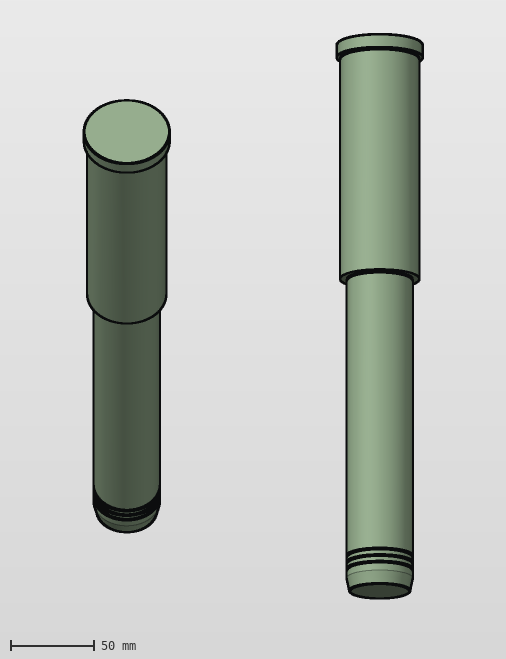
import cadquery as cq

total_length = 340.0
head_diameter = 52.0
head_thickness = 8.0
head_chamfer = 0.5
body_diameter = 48.0
shaft_diameter = 40.0
shoulder_depth = 146.0

tip_diameter = 36.7
tip_length = 8.0
tip_chamfer = 0.5

groove_count = 3
groove_width = 1.0
groove_depth = 0.5
groove_pitch = 4.0
lowest_groove_height = 13.0

shaft_length = total_length - shoulder_depth
body_length = shoulder_depth - head_thickness
shaft_radius = shaft_diameter / 2


def cylinder(diameter, bottom, height):
    """Solid cylinder on the Z axis, standing on the given height."""
    return cq.Workplane("XY").workplane(offset=bottom).circle(diameter / 2).extrude(height)


def tapered_shaft():
    """Shaft with its conical lead-in and broken bottom edge."""
    profile = (
        cq.Workplane("XZ")
        .lineTo(tip_diameter / 2, 0)
        .lineTo(shaft_radius, tip_length)
        .lineTo(shaft_radius, shaft_length)
        .lineTo(0, shaft_length)
        .close()
    )
    shaft = profile.revolve(360, (0, 0, 0), (0, 1, 0))
    return shaft.faces("<Z").chamfer(tip_chamfer)


def ring_groove(diameter, bottom):
    """Ring of material to remove for one groove in a cylinder of the given diameter."""
    outer = cylinder(diameter, bottom, groove_width)
    core = cylinder(diameter - 2 * groove_depth, bottom, groove_width)
    return outer.cut(core)


body = cylinder(body_diameter, shaft_length, body_length)
head = cylinder(head_diameter, total_length - head_thickness, head_thickness)
head = head.faces(">Z").chamfer(head_chamfer)
result = tapered_shaft().union(body).union(head)

for index in range(groove_count):
    groove_height = lowest_groove_height + index * groove_pitch
    result = result.cut(ring_groove(shaft_diameter, groove_height))

result = result.cut(ring_groove(shaft_diameter, shaft_length - groove_width))
result = result.cut(ring_groove(body_diameter, total_length - head_thickness - groove_width))